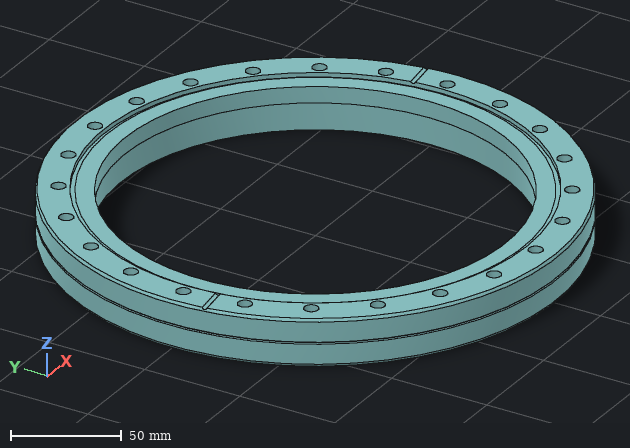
import cadquery as cq

outer_radius = 126.5
height = 24.5
bore_radius = 99.8
edge_chamfer_width = 0.8
edge_chamfer_height = 1.5

socket_radius = 101.8
socket_depth = 15.0

rim_groove_depth = 0.5
rim_groove_half_width = 0.5

recess_radius = 111.0
seat_inner_radius = 108.5
recess_depth = 1.3
seat_depth = 2.3

bolt_count = 24
bolt_circle_radius = 116.0
bolt_hole_diameter = 6.8

leak_groove_width = 2.3
leak_groove_depth = 0.8
leak_groove_angle = 360 / bolt_count / 2

half_height = height / 2


def make_ring():
    """Revolve the ring's cross-section, given as (radius, height) points, about Z."""
    shoulder_height = socket_depth - half_height
    profile = [
        (socket_radius, -half_height),
        (outer_radius - edge_chamfer_width, -half_height),
        (outer_radius, edge_chamfer_height - half_height),
        (outer_radius, -rim_groove_half_width),
        (outer_radius - rim_groove_depth, 0),
        (outer_radius, rim_groove_half_width),
        (outer_radius, half_height - edge_chamfer_height),
        (outer_radius - edge_chamfer_width, half_height),
        (recess_radius, half_height),
        (recess_radius, half_height - seat_depth),
        (seat_inner_radius, half_height - recess_depth),
        (bore_radius, half_height - recess_depth),
        (bore_radius, shoulder_height),
        (socket_radius, shoulder_height),
    ]
    return cq.Workplane("XZ").polyline(profile).close().revolve(360, (0, 0, 0), (0, 1, 0))


def make_bolt_holes():
    return (
        cq.Workplane("XY", origin=(0, 0, -half_height))
        .polarArray(bolt_circle_radius, 0, 360, bolt_count)
        .circle(bolt_hole_diameter / 2)
        .extrude(height)
    )


def make_leak_groove(angle):
    """Radial cylinder that cuts a shallow groove from the recess out to the rim."""
    radius = ((leak_groove_width / 2) ** 2 + leak_groove_depth**2) / (2 * leak_groove_depth)
    axis_height = half_height - leak_groove_depth + radius
    start_radius = (seat_inner_radius + recess_radius) / 2
    return (
        cq.Workplane("YZ", origin=(start_radius, 0, axis_height))
        .circle(radius)
        .extrude(outer_radius - start_radius)
        .rotate((0, 0, 0), (0, 0, 1), angle)
    )


result = make_ring().cut(make_bolt_holes())
for angle in (leak_groove_angle, leak_groove_angle + 180):
    result = result.cut(make_leak_groove(angle))